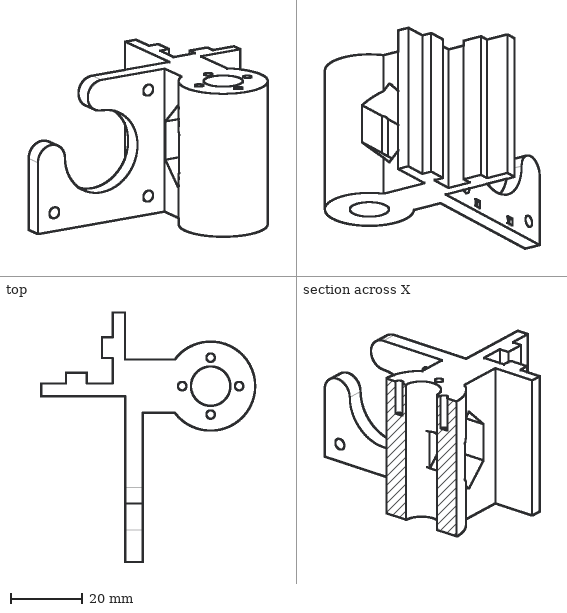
import cadquery as cq
import math

length = 70.2
height = 42.0
mid_height = height / 2

corner_size = 23.6
x_leg_thickness = 3.65
y_leg_thickness = 3.5
key_width = 5.9
key_depth = 3.0
key_end_distance = 6.95

tube_radius = 12.6
tube_x = 47.7
tube_y = length - 20.7
bore_diameter = 11.0
neck_width = 15.1
pin_diameter = 2.4
pin_circle_radius = 8.0
pin_depth = 10.0

window_x = 35.65
window_half_width = 6.7
window_half_height = 11.9
window_side_half_height = 5.6

plate_thickness = 5.0
cutout_radius = 12.0
cutout_y = mid_height
screw_diameter = 3.2
screw_spacing = 31.1
notch_width = 2.3
notch_height = 2.05
notch_depth = 1.0
notch_z = 2.5
notch_spacing = 16.0
notch_center_y = 22.7

corner_y = length - corner_size
inner_corner_x = corner_size - y_leg_thickness
inner_corner_y = corner_y + x_leg_thickness


def block(x_min, x_max, y_min, y_max):
    """Full-height block between the given X and Y limits."""
    size_x = x_max - x_min
    size_y = y_max - y_min
    return cq.Workplane("XY").box(size_x, size_y, height, centered=False).translate((x_min, y_min, 0))


def make_corner():
    x_leg = block(0, corner_size, corner_y, inner_corner_y)
    y_leg = block(inner_corner_x, corner_size, corner_y, length)
    x_key = block(key_end_distance, key_end_distance + key_width,
                  inner_corner_y, inner_corner_y + key_depth)
    key_top = length - key_end_distance
    y_key = block(inner_corner_x - key_depth, inner_corner_x, key_top - key_width, key_top)
    return x_leg.union(y_leg).union(x_key).union(y_key)


def make_tube_and_neck():
    neck = block(corner_size, tube_x, tube_y - neck_width / 2, tube_y + neck_width / 2)
    tube = cq.Workplane("XY").center(tube_x, tube_y).circle(tube_radius).extrude(height)
    return neck.union(tube)


def make_plate():
    """Plate whose two arms end in half rounds around the open cutout."""
    arm_width = mid_height - cutout_radius
    diagonal = cutout_radius * math.sqrt(0.5)
    return (
        cq.Workplane("YZ", origin=(corner_size, 0, 0))
        .lineTo(corner_y, 0)
        .lineTo(corner_y, height)
        .lineTo(cutout_y, height)
        .threePointArc((cutout_y - arm_width / 2, height - arm_width / 2), (cutout_y, height - arm_width))
        .threePointArc((cutout_y + diagonal, mid_height - diagonal), (arm_width, mid_height))
        .threePointArc((arm_width / 2, mid_height + arm_width / 2), (0, mid_height))
        .close()
        .extrude(plate_thickness)
    )


def make_window():
    return (
        cq.Workplane("XZ", origin=(window_x, 0, mid_height))
        .moveTo(0, window_half_height)
        .lineTo(window_half_width, window_side_half_height)
        .lineTo(window_half_width, -window_side_half_height)
        .lineTo(0, -window_half_height)
        .lineTo(-window_half_width, -window_side_half_height)
        .lineTo(-window_half_width, window_side_half_height)
        .close()
        .extrude(-length)
    )


def make_tube_holes():
    bore = cq.Workplane("XY").center(tube_x, tube_y).circle(bore_diameter / 2).extrude(height)
    pins = (
        cq.Workplane("XY", origin=(tube_x, tube_y, height))
        .polarArray(pin_circle_radius, 0, 360, 4)
        .circle(pin_diameter / 2)
        .extrude(-pin_depth)
    )
    return bore.union(pins)


def make_screw_holes():
    """Three holes; the fourth corner of the square falls in the open gap."""
    half = screw_spacing / 2
    return (
        cq.Workplane("YZ", origin=(corner_size, cutout_y, mid_height))
        .pushPoints([(half, half), (half, -half), (-half, -half)])
        .circle(screw_diameter / 2)
        .extrude(plate_thickness)
    )


def make_notches():
    """Two shallow pockets near the bottom edge of the plate."""
    return (
        cq.Workplane("YZ", origin=(corner_size, notch_center_y, notch_z))
        .rarray(notch_spacing, 0.7, 2, 1)
        .rect(notch_width, notch_height)
        .extrude(notch_depth)
    )


body = make_corner().union(make_tube_and_neck()).union(make_plate())
result = body.cut(make_window()).cut(make_tube_holes()).cut(make_screw_holes()).cut(make_notches())